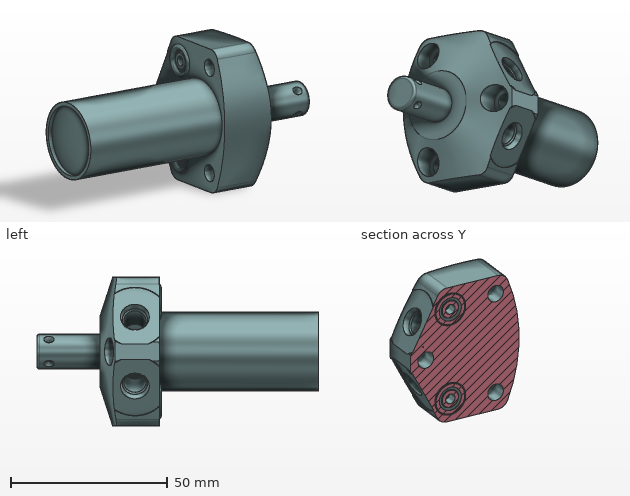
import cadquery as cq
import math


overall_length = 90.1

flange_thickness = 19.0
flange_height = 47.6
flange_left = -25.9
flange_right = 14.2
right_arc_radius = 55.9
nose_half_height = 3.1
side_angle = 28.0
corner_radius = 4.0
cone_angle = 18.0
cone_flat_radius = 11.3

barrel_radius = 12.6
barrel_length = 50.9
barrel_recess_radius = 11.4
barrel_recess_depth = 1.4
rod_radius = 5.6
rod_tip = overall_length - barrel_length
rod_tip_rounding = 0.9
dimple_radius = 1.6
dimple_tip_distance = 3.9

mount_hole_radius = 2.8
screw_seat_radius = 4.4
screw_seat_y = 9.9
rear_hole = (-20.2, 0)
front_hole_x = 5.5
front_hole_z = 17.5

port_y = 7.8
port_z = 11.2
spot_radius = 10.6
spot_depth = 0.3
port_mouth_radius = 4.6
port_taper_radius = 4.1
port_taper_depth = 2.0
port_step_depth = 2.4
port_bore_radius = 3.5
port_depth = 11.5

seal_x = -11.2
seal_z = 15.9
seal_seat_radius = 5.6
seal_seat_depth = 1.35
seal_ring_radius = 4.7
seal_cord_radius = 1.0
seal_ring_y = 0.41
seal_boss_y = 0.2
seal_boss_top_radius = 2.7
seal_boss_base_radius = 3.15
seal_hole_radius = 1.6
seal_hole_depth = 4.5


def cylinder_y(radius, y_start, y_end, x=0.0, z=0.0):
    """Cylinder along Y between two Y positions."""
    return cq.Workplane(
        cq.Solid.makeCylinder(radius, y_end - y_start, cq.Vector(x, y_start, z), cq.Vector(0, 1, 0))
    )


def make_flange():
    half_height = flange_height / 2
    shoulder_x = flange_left + (half_height - nose_half_height) * math.tan(math.radians(side_angle))
    arc_sagitta = right_arc_radius - math.sqrt(right_arc_radius**2 - half_height**2)
    arc_end_x = flange_right - arc_sagitta
    plate = (
        cq.Workplane("XZ")
        .moveTo(flange_left, -nose_half_height)
        .lineTo(shoulder_x, -half_height)
        .lineTo(arc_end_x, -half_height)
        .threePointArc((flange_right, 0), (arc_end_x, half_height))
        .lineTo(shoulder_x, half_height)
        .lineTo(flange_left, nose_half_height)
        .close()
        .extrude(-flange_thickness)
        .edges("|Y and (>Z or <Z)")
        .fillet(corner_radius)
    )
    blank_radius = flange_height
    cone_drop = (blank_radius - cone_flat_radius) * math.tan(math.radians(cone_angle))
    blank = (
        cq.Workplane("XY")
        .moveTo(0, 0)
        .lineTo(blank_radius, 0)
        .lineTo(blank_radius, flange_thickness - cone_drop)
        .lineTo(cone_flat_radius, flange_thickness)
        .lineTo(0, flange_thickness)
        .close()
        .revolve(360, (0, 0), (0, 1))
    )
    return plate.intersect(blank)


def make_barrel():
    barrel = cylinder_y(barrel_radius, -barrel_length, 0)
    recess = cylinder_y(barrel_recess_radius, -barrel_length, barrel_recess_depth - barrel_length)
    return barrel.cut(recess)


def make_rod():
    rod = cylinder_y(rod_radius, 0, rod_tip).faces(">Y").edges().fillet(rod_tip_rounding)
    apex_distance = rod_radius - dimple_radius
    cone_height = 2 * dimple_radius
    cone_base_distance = apex_distance + cone_height
    for angle in (45, 135, 225, 315):
        inward = cq.Vector(-math.cos(math.radians(angle)), 0, -math.sin(math.radians(angle)))
        base = cq.Vector(0, rod_tip - dimple_tip_distance, 0) - inward * cone_base_distance
        rod = rod.cut(cq.Workplane(cq.Solid.makeCone(cone_height, 0, cone_height, base, inward)))
    return rod


def make_port_cutter():
    """Spot face and stepped bore, square to the upper sloping side."""
    slope = math.radians(side_angle)
    inward = cq.Vector(math.cos(slope), 0, -math.sin(slope))
    side_x = flange_left + (port_z - nose_half_height) * math.tan(slope)
    spot_centre = cq.Vector(side_x, port_y, port_z) + inward * spot_depth
    port_plane = cq.Plane(origin=spot_centre, xDir=(0, 1, 0), normal=inward.cross(cq.Vector(0, 1, 0)))
    profile = (
        cq.Workplane(port_plane)
        .moveTo(0, spot_radius)
        .lineTo(spot_radius, spot_radius)
        .lineTo(spot_radius, 0)
        .lineTo(port_mouth_radius, 0)
        .lineTo(port_taper_radius, -port_taper_depth)
        .lineTo(port_bore_radius, -port_step_depth)
        .lineTo(port_bore_radius, -port_depth)
        .lineTo(0, -port_depth)
        .close()
    )
    return profile.revolve(360, (0, 0), (0, 1))


def add_seal(body, z):
    """Seat, tapered boss, blind hole and O-ring around one opening."""
    seat = cylinder_y(seal_seat_radius, 0, seal_seat_depth, seal_x, z)
    boss_height = seal_seat_depth - seal_boss_y
    boss = cq.Workplane(
        cq.Solid.makeCone(
            seal_boss_top_radius, seal_boss_base_radius, boss_height,
            cq.Vector(seal_x, seal_boss_y, z), cq.Vector(0, 1, 0),
        )
    )
    hole = cylinder_y(seal_hole_radius, 0, seal_hole_depth, seal_x, z)
    ring = cq.Workplane(
        cq.Solid.makeTorus(
            seal_ring_radius, seal_cord_radius,
            cq.Vector(seal_x, seal_ring_y, z), cq.Vector(0, 1, 0),
        )
    )
    return body.cut(seat.cut(boss)).cut(hole).union(ring)


result = make_flange()

port = make_port_cutter()
result = result.cut(port).cut(port.mirror("XY"))

for hole_x, hole_z in (rear_hole, (front_hole_x, front_hole_z), (front_hole_x, -front_hole_z)):
    result = result.cut(cylinder_y(mount_hole_radius, 0, flange_thickness, hole_x, hole_z))
    result = result.cut(cylinder_y(screw_seat_radius, screw_seat_y, flange_thickness, hole_x, hole_z))

result = result.union(make_barrel()).union(make_rod())

for z_position in (seal_z, -seal_z):
    result = add_seal(result, z_position)